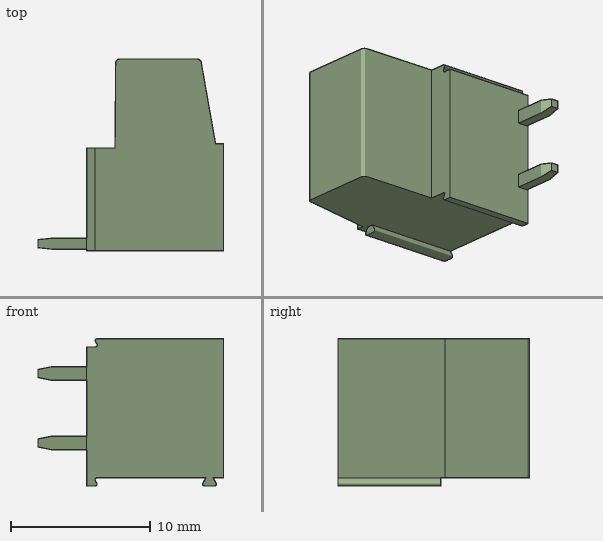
import cadquery as cq
import math


overall_depth = 13.8
body_width = 9.84
body_height = 10.0
shoulder_depth = 7.41
far_shoulder_depth = 7.71

tower_left = 2.03
tower_right = 9.27
left_draft = math.radians(0.4)
right_draft = math.radians(10)
tower_corner_radius = 0.3

key_height = 0.6
key_radius = 0.14
key_slope = math.radians(30)
step_tip_x = 0.61
rail_center_x = 8.83
rail_neck_width = 0.52

pin_pitch = 5.0
pin_length = 3.5
pin_taper_length = 1.0
pin_depth = 0.8
pin_height = 1.0
pin_tip_size = 0.6
pin_center_y = 0.51
pin_embed = 1.0

round_drop = key_radius * (1 + math.sin(key_slope))
round_inset = key_radius * math.cos(key_slope)
flank_run = (key_height - 2 * round_drop) * math.tan(key_slope)


def make_housing():
    """Block and tower, outlined from above and extruded over the full height."""
    left_lean = (overall_depth - shoulder_depth) * math.tan(left_draft)
    right_lean = (overall_depth - far_shoulder_depth) * math.tan(right_draft)
    block = (
        cq.Workplane("XY")
        .moveTo(0, 0)
        .lineTo(body_width, 0)
        .lineTo(body_width, far_shoulder_depth)
        .lineTo(tower_right, far_shoulder_depth)
        .lineTo(tower_right - right_lean, overall_depth)
        .lineTo(tower_left + left_lean, overall_depth)
        .lineTo(tower_left, shoulder_depth)
        .lineTo(0, shoulder_depth)
        .close()
        .extrude(body_height)
    )
    return block.faces(">Y").edges("|Z").fillet(tower_corner_radius)


def make_edge_strip(base_z):
    """Strip along the pin-side edge with an S-shaped flank, its top at base_z."""
    upper_x = step_tip_x + key_radius
    lower_x = upper_x - 2 * round_inset + flank_run
    upper_z = base_z - key_radius
    lower_z = base_z - key_height + key_radius
    return (
        cq.Workplane("XZ")
        .moveTo(0, base_z)
        .lineTo(upper_x, base_z)
        .threePointArc(
            (upper_x - key_radius, upper_z),
            (upper_x - round_inset, base_z - round_drop),
        )
        .lineTo(lower_x + round_inset, base_z - key_height + round_drop)
        .threePointArc((lower_x + key_radius, lower_z), (lower_x, base_z - key_height))
        .lineTo(0, base_z - key_height)
        .close()
        .extrude(-shoulder_depth)
    )


def make_rail():
    """Dovetail rail with rounded lower corners below the housing."""
    neck = rail_neck_width / 2
    flank_drop = key_height - round_drop
    flank_end = neck + flank_drop * math.tan(key_slope)
    round_center = flank_end - round_inset
    round_side = round_center + key_radius
    round_z = key_radius - key_height
    return (
        cq.Workplane("XZ", origin=(rail_center_x, 0, 0))
        .moveTo(-neck, 0)
        .lineTo(neck, 0)
        .lineTo(flank_end, -flank_drop)
        .threePointArc((round_side, round_z), (round_center, -key_height))
        .lineTo(-round_center, -key_height)
        .threePointArc((-round_side, round_z), (-flank_end, -flank_drop))
        .close()
        .extrude(-shoulder_depth)
    )


def make_pin(center_z):
    """Rectangular pin along -X with a tapered tip."""
    shank_length = pin_length - pin_taper_length
    shank = cq.Workplane("XY").box(
        shank_length + pin_embed, pin_depth, pin_height, centered=(False, True, True)
    ).translate((-shank_length, pin_center_y, center_z))
    tip = (
        cq.Workplane("YZ", origin=(-pin_length, pin_center_y, center_z))
        .rect(pin_tip_size, pin_tip_size)
        .workplane(offset=pin_taper_length)
        .rect(pin_depth, pin_height)
        .loft(ruled=True)
    )
    return shank.union(tip)


result = make_housing().cut(make_edge_strip(body_height))
result = result.union(make_edge_strip(0)).union(make_rail())
for side in (-1, 1):
    result = result.union(make_pin((body_height + side * pin_pitch) / 2))